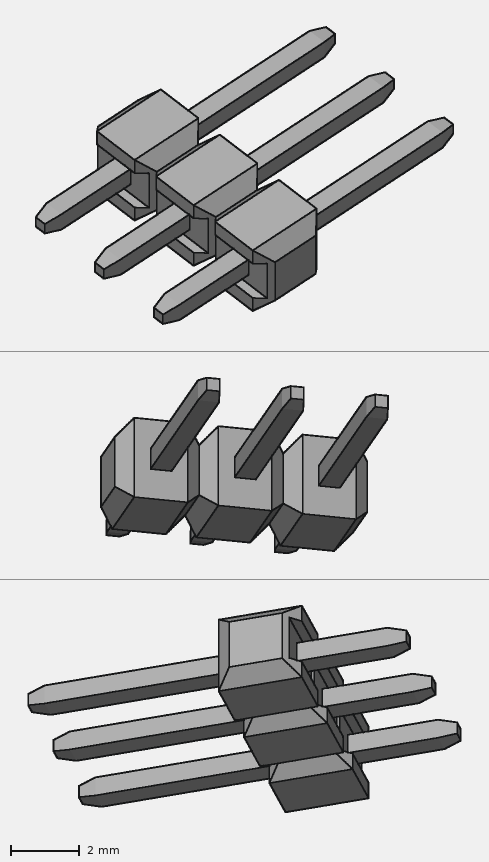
import cadquery as cq

pin_count = 3
pitch = 2.54

cell_length = 2.54
cell_height = 2.5
chamfer = 0.46
slot_depth = 0.3
slot_height = 1.42

pin_side = 0.63
tip_side = 0.39
tip_length = 0.54
front_reach = 3.0
back_reach = 6.0

cell_front = -cell_length / 2
pin_front = cell_front - front_reach
pin_back = cell_length / 2 + back_reach


def make_cell():
    """Housing block with chamfered X faces and a slot along X across its -Y face."""
    block = (
        cq.Workplane("XY")
        .box(pitch, cell_length, cell_height)
        .faces("<X or >X")
        .chamfer(chamfer)
    )
    slot = (
        cq.Workplane("XY")
        .box(pitch, slot_depth, slot_height)
        .translate((0, cell_front + slot_depth / 2, 0))
    )
    return block.cut(slot)


def make_tip(base_y, end_y):
    """Square pin end tapering from the shank at base_y to the small face at end_y."""
    plane = cq.Plane(origin=(0, base_y, 0), xDir=(1, 0, 0), normal=(0, end_y - base_y, 0))
    return (
        cq.Workplane(plane)
        .rect(pin_side, pin_side)
        .workplane(offset=abs(end_y - base_y))
        .rect(tip_side, tip_side)
        .loft(ruled=True)
    )


def make_pin():
    """Straight square pin with a tapered tip at each end."""
    shank_front = pin_front + tip_length
    shank_back = pin_back - tip_length
    shank = (
        cq.Workplane("XY")
        .box(pin_side, shank_back - shank_front, pin_side)
        .translate((0, (shank_front + shank_back) / 2, 0))
    )
    return shank.union(make_tip(shank_front, pin_front)).union(make_tip(shank_back, pin_back))


position = make_cell().union(make_pin())
first_x = -pitch * (pin_count - 1) / 2
result = position.translate((first_x, 0, 0))
for index in range(1, pin_count):
    result = result.union(position.translate((first_x + index * pitch, 0, 0)))